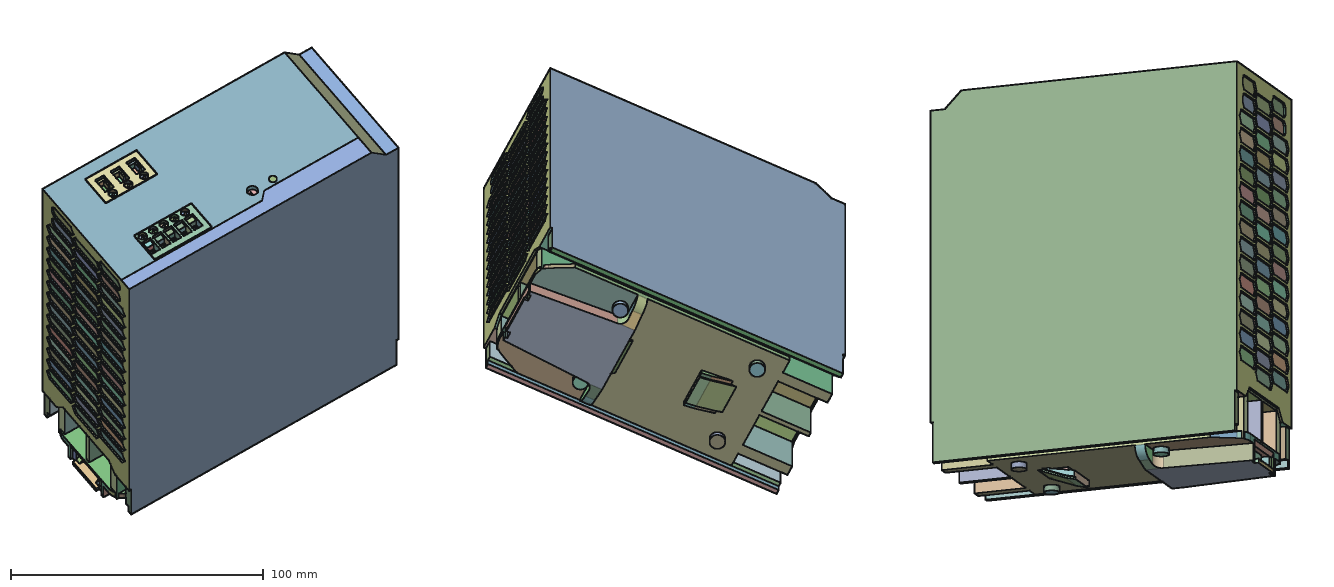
import cadquery as cq


width = 60.0
depth = 130.0
top_z = 159.5
skirt_z = 24.2
skirt_inset = 1.0
side_bottom_z = 7.7
notch_depth = 7.0
notch_ledge = 6.0
notch_run = 7.0
half_width = width / 2

inner_x = 15.8
rib_x = 20.2
flange_x = 26.2
flange_lip_x = 28.0
flange_lip_z = 10.9
panel_arch_z = 29.0
inner_top_z = 27.8
fin_thickness = 2.0

plate_top_z = 10.0
plate_bottom_z = 7.0
plate_length = 107.4
plate_front_x = 19.5
plate_corner_length = 12.8
plate_corner_radius = 6.4

foot_back = 44.8
foot_wall_y = 40.5
foot_flat_x = 14.7
foot_slope_end = (21.3, 2.0)
foot_corner_middle = (24.6, 3.8)
web_inner_x = 10.5
web_front_x = 12.2
web_back_x = 14.7
web_fillet = 3.5
hook_reach = 2.4
hook_root_z = (1.8, 6.0)
hook_tip_z = 4.6
hook_width = 16.0

latch_setback = 1.0
latch_lip_x = 8.0
latch_lip_z = 1.8
latch_lip_reach = 0.6
latch_recess_x = 5.6
latch_recess_depth = 2.4
latch_ramp_depth = 4.8
plate_bevel_z = 9.0
plate_bevel_depth = 1.0

base_screw_diameter = 6.2
base_screw_bottom_z = 4.6
base_screw_x = 18.0
base_screw_y = (36.8, 97.1)
tongue_width = 16.0
tongue_middle_width = 12.8
tongue_edge_rise = 0.8

cell_rows = 16
cell_span = 112.2
cell_pitch = cell_span / (cell_rows - 1)
cell_half_length = 9.3
cell_tip = 2.0
cell_height = 6.0
cell_depth = 0.8
cell_top_z = 153.0
cell_column_x = 17.8
short_rows = 2
short_cell_end = 23.7

block_top_z = 160
block_front_y = 16.5
terminal_screw_diameter = 3.5
terminal_screw_depth = 1.6
terminal_screw_x = 12.0
slot_length = 3.2
slot_width = 0.8
slot_depth = 0.5
ledge_z = 158.4
pocket_z = 155.2
hole_z = 152.0
input_block_x = (-24.0, -9.8)
input_block_back_y = 41.3
input_rows = 3
input_first_y = 21.5
input_pitch = 7.5
input_pocket_width = 4.2
input_hole_margin = 0.8
output_block_x = (9.8, 24.0)
output_block_back_y = 44.2
output_rows = 5
output_first_y = 19.0
output_pitch = 5.1
output_pocket_width = 4.0
output_hole_width = 2.5
seam_step = 0.08
indicator_x = 18.2
led_y = 77.6
led_diameter = 3.2
led_depth = 0.2
trimmer_y = 67.7
trimmer_diameter = 4.5
trimmer_depth = 2.4
pointer_width = 2.5
pointer_length = 1.5
pointer_depth = 0.8


def box(x_range, y_range, z_range):
    size = [end - start for start, end in (x_range, y_range, z_range)]
    return cq.Workplane("XY").box(*size, centered=False).translate((x_range[0], y_range[0], z_range[0]))


def centered_box(half_x, y_range, z_range):
    return box((-half_x, half_x), y_range, z_range)


def along_y(sketch_points, y_range):
    """Prism along Y from a closed X-Z polygon."""
    plane = cq.Workplane("XZ", origin=(0, y_range[0], 0))
    return plane.polyline(sketch_points).close().extrude(y_range[0] - y_range[1])


def along_x(sketch_points, prism_width):
    """Prism centred on X from a closed Y-Z polygon."""
    return cq.Workplane("YZ").polyline(sketch_points).close().extrude(prism_width / 2, both=True)


def cylinder(x, y, z_range, diameter):
    base = cq.Workplane("XY", origin=(x, y, z_range[0]))
    return base.circle(diameter / 2).extrude(z_range[1] - z_range[0])


def housing():
    back_inset_y = depth - skirt_inset
    ledge_y = depth - notch_ledge
    profile = [
        (0, skirt_z),
        (skirt_inset, skirt_z),
        (skirt_inset, side_bottom_z),
        (back_inset_y, side_bottom_z),
        (back_inset_y, skirt_z),
        (depth, skirt_z),
        (depth, top_z - notch_depth),
        (ledge_y, top_z - notch_depth),
        (ledge_y - notch_run, top_z),
        (0, top_z),
    ]
    body = along_x(profile, width)

    arch = [(-rib_x, skirt_z), (-inner_x, panel_arch_z), (inner_x, panel_arch_z), (rib_x, skirt_z)]
    for y_range in ((0, skirt_inset), (back_inset_y, depth)):
        body = body.cut(along_y(arch, y_range))

    full_length = (0, depth)
    body = body.cut(centered_box(inner_x, full_length, (0, inner_top_z)))
    body = body.cut(centered_box(flange_lip_x, full_length, (0, flange_lip_z)))
    for side in (-1, 1):
        near, far = sorted((side * rib_x, side * flange_x))
        body = body.cut(box((near, far), full_length, (0, skirt_z)))
        near, far = sorted((side * inner_x, side * rib_x))
        body = body.union(box((near, far), (skirt_inset, back_inset_y), (plate_bottom_z, skirt_z)))
    fin = centered_box(fin_thickness / 2, (skirt_inset, back_inset_y), (plate_bottom_z, inner_top_z))
    return body.union(fin)


def base_plate():
    plan = [
        (-plate_front_x, 0),
        (plate_front_x, 0),
        (flange_x, plate_corner_length),
        (flange_x, plate_length),
        (-flange_x, plate_length),
        (-flange_x, plate_corner_length),
    ]
    plate = cq.Workplane("XY", origin=(0, 0, plate_bottom_z)).polyline(plan).close()
    plate = plate.extrude(plate_top_z - plate_bottom_z)
    plate = plate.edges("|Z and <Y").fillet(plate_corner_radius)
    bevel = [(0, plate_bevel_z), (plate_bevel_depth, plate_bottom_z), (0, plate_bottom_z)]
    return plate.cut(along_x(bevel, 2 * web_inner_x))


def foot():
    wall = centered_box(flange_x, (foot_wall_y, foot_back), (0, plate_bottom_z))
    web_plan = [(-web_front_x, 0), (web_front_x, 0), (web_back_x, foot_wall_y), (-web_back_x, foot_wall_y)]
    webs = cq.Workplane("XY").polyline(web_plan).close().extrude(plate_bottom_z)
    body = wall.union(webs)
    reach = web_fillet / 2
    corners = cq.selectors.BoxSelector(
        (-web_back_x - reach, foot_wall_y - reach, 0),
        (web_back_x + reach, foot_wall_y + reach, plate_bottom_z),
    )
    body = body.edges("|Z").edges(corners).fillet(web_fillet)
    body = body.cut(centered_box(web_inner_x, (0, foot_wall_y), (0, plate_bottom_z)))

    right_half = (
        cq.Workplane("XZ")
        .lineTo(foot_flat_x, 0)
        .lineTo(*foot_slope_end)
        .threePointArc(foot_corner_middle, (flange_x, plate_bottom_z))
        .lineTo(0, plate_bottom_z)
        .close()
        .extrude(-foot_back)
    )
    outline = right_half.union(right_half.mirror("YZ"))
    hook = [
        (foot_back, hook_root_z[0]),
        (foot_back + hook_reach, hook_tip_z),
        (foot_back, hook_root_z[1]),
    ]
    return body.intersect(outline).union(along_x(hook, hook_width))


def latch():
    body = centered_box(web_inner_x, (latch_setback, foot_wall_y), (0, plate_bottom_z))
    body = body.union(centered_box(latch_lip_x, (-latch_lip_reach, latch_setback), (0, latch_lip_z)))
    ramp_back = latch_setback + latch_ramp_depth
    ramp = [
        (latch_setback, latch_lip_z),
        (ramp_back, plate_bottom_z),
        (latch_setback, plate_bottom_z),
    ]
    ramps = along_x(ramp, 2 * latch_lip_x)
    middle = centered_box(latch_recess_x, (latch_setback, ramp_back), (latch_lip_z, plate_bottom_z))
    recess_y = (latch_setback, latch_setback + latch_recess_depth)
    recess = centered_box(latch_recess_x, recess_y, (latch_lip_z, plate_bottom_z))
    return body.cut(ramps.cut(middle)).cut(recess)


def base_fittings():
    """Bent spring tongue with its spacer, and four screw heads under the base plate."""
    root_y, bend_y, tip_y = 93.6, 82.0, 77.5
    bend_z, tip_z, tip_top_z = 2.7, 1.6, 5.0
    spacer_y, spacer_bottom_z = (80.6, 88.0), 5.8
    upper_end = (spacer_y[1], 6.7)
    edge_root_y = 91.2

    upper_side = [(tip_y, tip_top_z), upper_end, (spacer_y[1], plate_bottom_z)]
    underside = [(bend_y, bend_z), (tip_y, tip_z)]
    raised = [(y, z + tongue_edge_rise) for y, z in underside]
    fittings = along_x([(root_y, plate_bottom_z)] + underside + upper_side, tongue_middle_width)
    edges = along_x([(edge_root_y, plate_bottom_z)] + raised + upper_side, tongue_width)
    spacer = centered_box(tongue_middle_width / 2, spacer_y, (spacer_bottom_z, plate_bottom_z))
    fittings = fittings.union(edges).union(spacer)
    for x in (-base_screw_x, base_screw_x):
        for y in base_screw_y:
            screw = cylinder(x, y, (base_screw_bottom_z, plate_bottom_z), base_screw_diameter)
            fittings = fittings.union(screw)
    return fittings


def pointed_cell(x, z):
    half_height = cell_height / 2
    flat = cell_half_length - cell_tip
    points = [
        (x - cell_half_length, z),
        (x - flat, z + half_height),
        (x + flat, z + half_height),
        (x + cell_half_length, z),
        (x + flat, z - half_height),
        (x - flat, z - half_height),
    ]
    return along_y(points, (0, cell_depth))


def round_ended_cell(side, z):
    """Shorter cell with a point towards the middle and a round outer end."""
    half_height = cell_height / 2
    point_x = cell_column_x - cell_half_length
    return (
        cq.Workplane("XZ")
        .moveTo(side * point_x, z)
        .lineTo(side * (point_x + cell_tip), z + half_height)
        .lineTo(side * (short_cell_end - cell_tip), z + half_height)
        .threePointArc((side * short_cell_end, z), (side * (short_cell_end - cell_tip), z - half_height))
        .lineTo(side * (point_x + cell_tip), z - half_height)
        .close()
        .extrude(-cell_depth)
    )


def vent_cells():
    cells = cq.Workplane("XY")
    for row in range(cell_rows):
        z = cell_top_z - row * cell_pitch
        cells = cells.add(pointed_cell(0, z - cell_pitch / 2))
        for side in (-1, 1):
            cell = round_ended_cell(side, z) if row < short_rows else pointed_cell(side * cell_column_x, z)
            cells = cells.add(cell)
    return cells.combine()


def cover_strip():
    """Side strip of the top, stepped down very slightly along a jogged seam."""
    narrow_x, wide_x = 24.5, 21.0
    jog_start_y, jog_end_y = 68.0, 71.5
    points = [
        (narrow_x, 0),
        (narrow_x, jog_start_y),
        (wide_x, jog_end_y),
        (wide_x, depth - notch_ledge - notch_run),
        (half_width, depth - notch_ledge - notch_run),
        (half_width, 0),
    ]
    strip = cq.Workplane("XY", origin=(0, 0, top_z - seam_step)).polyline(points).close()
    return strip.extrude(seam_step)


def terminal_screw(x, y):
    """Recess around a screw head with a diagonal slot."""
    head_z = block_top_z - terminal_screw_depth
    recess = cylinder(x, y, (head_z, block_top_z), terminal_screw_diameter)
    slot = (
        cq.Workplane("XY", origin=(x, y, head_z - slot_depth))
        .transformed(rotate=(0, 0, -45))
        .rect(slot_length, slot_width)
        .extrude(slot_depth)
    )
    return recess.union(slot)


def input_terminals(body):
    """Three wire funnels, each a stepped hole with a ramp on its +X side, beside their screws."""
    body = body.union(box(input_block_x, (block_front_y, input_block_back_y), (top_z, block_top_z)))
    pocket_start, hole_start, ramp_start, ramp_end = -21.3, -20.2, -17.0, -14.2
    for row in range(input_rows):
        y = input_first_y + row * input_pitch
        pocket_y = (y - input_pocket_width / 2, y + input_pocket_width / 2)
        hole_y = (pocket_y[0], pocket_y[1] - input_hole_margin)
        body = body.cut(box((pocket_start, ramp_start), pocket_y, (ledge_z, block_top_z)))
        body = body.cut(box((hole_start, ramp_start), hole_y, (pocket_z, ledge_z)))
        ramp = [(ramp_start, block_top_z), (ramp_start, pocket_z), (ramp_end, block_top_z)]
        body = body.cut(along_y(ramp, pocket_y))
        body = body.cut(terminal_screw(-terminal_screw_x, y))
    return body


def output_terminals(body):
    """Five wire entries, each a shallow ledge followed by a stepped hole, beside their screws."""
    body = body.union(box(output_block_x, (block_front_y, output_block_back_y), (top_z, block_top_z)))
    ledge_x, pocket_x, hole_x = (14.4, 16.8), (16.8, 21.3), (17.1, 20.3)
    for row in range(output_rows):
        y = output_first_y + row * output_pitch
        pocket_y = (y - output_pocket_width / 2, y + output_pocket_width / 2)
        hole_y = (y - output_hole_width / 2, y + output_hole_width / 2)
        body = body.cut(box(ledge_x, pocket_y, (ledge_z, block_top_z)))
        body = body.cut(box(pocket_x, pocket_y, (pocket_z, block_top_z)))
        body = body.cut(box(hole_x, hole_y, (hole_z, pocket_z)))
        body = body.cut(terminal_screw(terminal_screw_x, y))
    return body


def indicators(body):
    body = body.cut(cylinder(indicator_x, led_y, (top_z - led_depth, top_z), led_diameter))
    floor_z = top_z - trimmer_depth
    body = body.cut(cylinder(indicator_x, trimmer_y, (floor_z, top_z), trimmer_diameter))
    pointer = (
        cq.Workplane("XY", origin=(indicator_x, trimmer_y, floor_z))
        .polyline([(-pointer_width / 2, 0), (pointer_width / 2, 0), (0, -pointer_length)])
        .close()
        .extrude(-pointer_depth)
    )
    return body.cut(pointer)


result = housing().union(base_plate()).union(foot()).union(latch()).union(base_fittings())
result = result.cut(vent_cells())
result = result.cut(cover_strip())
result = input_terminals(result)
result = output_terminals(result)
result = indicators(result)